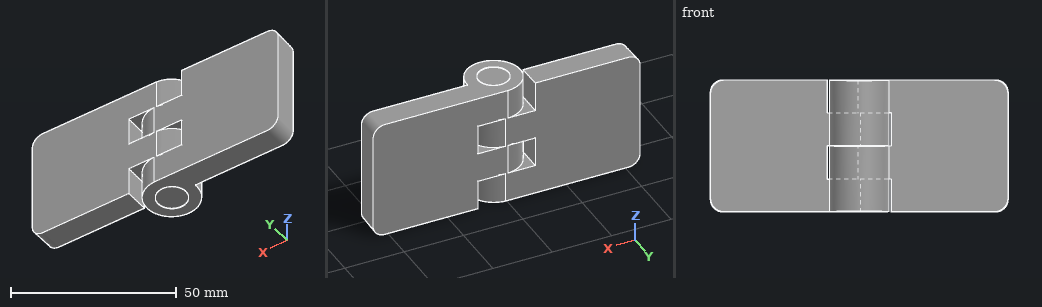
import cadquery as cq
import math

length = 90.0
height = 40.0
barrel_radius = 9.0
pin_radius = 5.0
leaf_thickness = 8.4
leaf_gap = 0.6
corner_radius = 4.0
web_overlap = 0.45
draft_angle = 1.0

knuckle_count = 4
knuckle_height = height / knuckle_count
back_y = barrel_radius
leaf_center_y = back_y - leaf_thickness / 2
leaf_inner_x = barrel_radius + leaf_gap
leaf_width = length / 2 - leaf_inner_x
leaf_front_y = back_y - leaf_thickness
groove_depth = barrel_radius + leaf_front_y
groove_half_width = groove_depth * math.tan(math.radians(draft_angle))


def left_leaf():
    """Plate on the -X side, joined to the barrel by two alternate webs."""
    web_length = leaf_inner_x + web_overlap
    leaf = cq.Workplane("XY").box(leaf_width, leaf_thickness, height).translate(
        (-leaf_inner_x - leaf_width / 2, leaf_center_y, 0)
    )
    for level in range(0, knuckle_count, 2):
        web_z = -height / 2 + (level + 0.5) * knuckle_height
        web = cq.Workplane("XY").box(web_length, leaf_thickness, knuckle_height).translate(
            (web_overlap - web_length / 2, leaf_center_y, web_z)
        )
        leaf = leaf.union(web)
    return leaf


def drafted_envelope():
    """Rounded outline, largest at the back and narrowing toward the front of the barrel."""
    return (
        cq.Workplane("XZ", origin=(0, back_y, 0))
        .rect(length, height)
        .extrude(2 * barrel_radius, taper=draft_angle)
        .edges("not(|X or |Z)")
        .fillet(corner_radius)
    )


def barrel_groove():
    """V-shaped seam across the barrel in front of the leaves at mid height."""
    return (
        cq.Workplane("YZ")
        .moveTo(leaf_front_y, 0)
        .lineTo(-barrel_radius, groove_half_width)
        .lineTo(-barrel_radius, -groove_half_width)
        .close()
        .extrude(leaf_inner_x, both=True)
    )


def full_height_cylinder(radius):
    return cq.Workplane("XY").circle(radius).extrude(height / 2, both=True)


leaf = left_leaf()
opposite_leaf = leaf.rotate((0, 0, 0), (0, 1, 0), 180)
body = full_height_cylinder(barrel_radius).union(leaf).union(opposite_leaf)
body = body.intersect(drafted_envelope()).cut(barrel_groove())

result = body.union(full_height_cylinder(pin_radius))